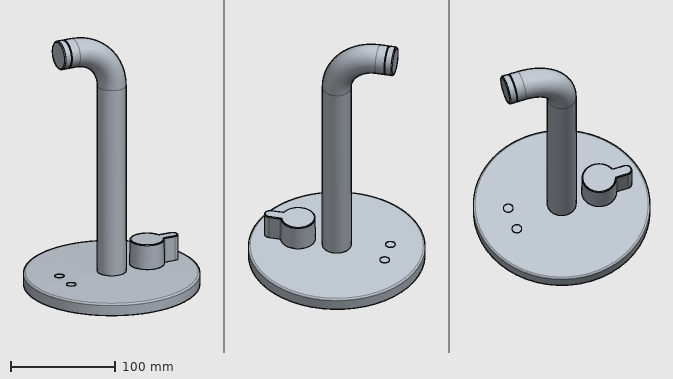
import cadquery as cq

base_radius = 85.0
shoulder_height = 12.2
crown_height = 13.8
rim_fillet = 1.8

pipe_radius = 14.0
bend_radius = 41.0
overall_height = 259.5
outlet_reach = 57.5
outlet_axis_height = overall_height - pipe_radius
bend_start_height = outlet_axis_height - bend_radius
outlet_chamfer = 1.0
groove_reach = 50.0
groove_width = 0.8
groove_depth = 0.5

lever_center_y = 38.2
lever_radius = 17.0
lever_taper = 1.0
lever_bottom = 14.3
lever_height = 25.2
arm_width = 11.0
arm_tip_y = 71.0
arm_corner_fillet = 1.3
lever_top_chamfer = 0.8
lever_neck_radius = 14.3

window_radius = 4.7
window_offset_x = 12.5
window_y = -50.0
window_depth = 0.4


def make_base():
    profile = (
        cq.Workplane("XZ")
        .polyline([(0, 0), (base_radius, 0), (base_radius, shoulder_height), (0, crown_height)])
        .close()
    )
    disc = profile.revolve(360, (0, 0, 0), (0, 1, 0))
    rim = cq.selectors.BoxSelector(
        (-2 * base_radius, -2 * base_radius, shoulder_height - 0.3),
        (2 * base_radius, 2 * base_radius, shoulder_height + 0.3),
        boundingbox=True,
    )
    return disc.edges(rim).fillet(rim_fillet)


def make_spout():
    path = (
        cq.Workplane("YZ")
        .lineTo(0, bend_start_height)
        .radiusArc((-bend_radius, outlet_axis_height), -bend_radius)
        .lineTo(-outlet_reach, outlet_axis_height)
    )
    pipe = cq.Workplane("XY").circle(pipe_radius).sweep(path)
    pipe = pipe.faces("<Y").edges().chamfer(outlet_chamfer)
    groove = (
        cq.Workplane("XZ", origin=(0, -groove_reach, outlet_axis_height))
        .circle(pipe_radius + groove_depth)
        .circle(pipe_radius - groove_depth)
        .extrude(groove_width / 2, both=True)
    )
    return pipe.cut(groove)


def make_lever():
    arm_end_radius = arm_width / 2
    arm_length = arm_tip_y - arm_end_radius - lever_center_y
    plane = cq.Workplane("XY", origin=(0, lever_center_y, lever_bottom))
    body = plane.circle(lever_radius).extrude(lever_height, taper=lever_taper)
    arm = plane.center(0, arm_length / 2).rect(arm_width, arm_length).extrude(lever_height)
    arm_end = plane.center(0, arm_length).circle(arm_end_radius).extrude(lever_height)
    lever = body.union(arm.union(arm_end))
    inner_corners = cq.selectors.BoxSelector(
        (-arm_width, lever_center_y + arm_width, lever_bottom - 2.5),
        (arm_width, lever_center_y + lever_radius + 2.5, lever_bottom + lever_height + 2.5),
        boundingbox=True,
    )
    lever = lever.edges(inner_corners).edges("not(#Z)").fillet(arm_corner_fillet)
    lever = lever.faces(">Z").edges().chamfer(lever_top_chamfer)
    neck = cq.Workplane("XY").center(0, lever_center_y).circle(lever_neck_radius).extrude(lever_bottom)
    return lever.union(neck)


def make_windows():
    height_at_window = crown_height - (crown_height - shoulder_height) * abs(window_y) / base_radius
    return (
        cq.Workplane("XY", origin=(0, 0, height_at_window - window_depth))
        .pushPoints([(-window_offset_x, window_y), (window_offset_x, window_y)])
        .circle(window_radius)
        .extrude(crown_height)
    )


result = make_base().cut(make_windows()).union(make_spout()).union(make_lever())